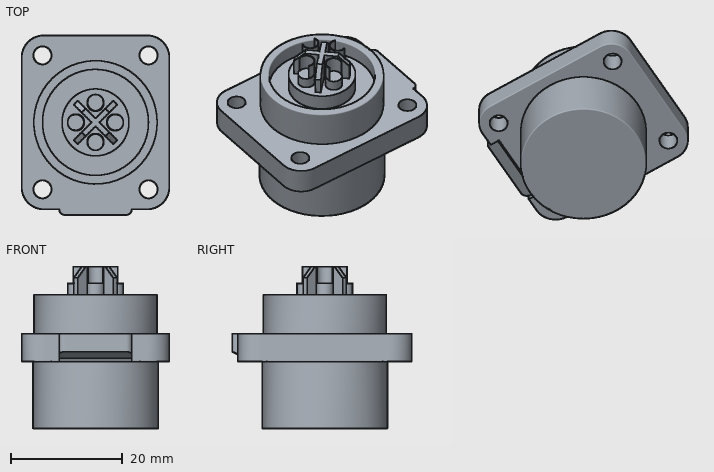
import cadquery as cq
import math

flange_bottom = 12.0
flange_top = 17.0
collar_top = 24.0
collar_floor = 21.0
island_top = 24.0
contact_step = 26.0
insert_top = 29.0

body_diameter = 22.5
collar_diameter = 22.1
collar_bore = 19.0
island_diameter = 12.0
edge_radius = 0.2

flange_width = 26.5
flange_length = 31.2
flange_corner_radius = 4.0
hole_diameter = 3.2
hole_spacing_x = 19.0
hole_spacing_y = 24.0

tab_width = 13.0
tab_projection = 1.0
tab_corner_radius = 1.0
relief_start_height = 13.77
relief_knee_height = 12.64
relief_angle = 25.0
relief_end_angle = 57.5

cross_length = 10.0
cross_thickness = 1.0
cross_chamfer = 2.0
cross_angle = 45.0

contact_count = 4
contact_circle_radius = 3.5
contact_diameter = 3.0
cup_diameter = 2.8
cup_cut_offset = 0.5


def cylinder(diameter, bottom, top):
    return cq.Workplane("XY").workplane(offset=bottom).circle(diameter / 2).extrude(top - bottom)


def turn_about_z(part, angle):
    return part.rotate((0, 0, 0), (0, 0, 1), angle)


def make_body():
    lower = cylinder(body_diameter, 0, flange_bottom).faces("<Z").edges().fillet(edge_radius)
    collar = cylinder(collar_diameter, flange_bottom, collar_top)
    collar = collar.cut(cylinder(collar_bore, collar_floor, collar_top))
    collar = collar.faces(">Z").edges().fillet(edge_radius)
    island = cylinder(island_diameter, collar_floor, island_top)
    return lower.union(collar).union(island)


def make_flange():
    thickness = flange_top - flange_bottom
    plate = (
        cq.Workplane("XY")
        .workplane(offset=flange_bottom)
        .rect(flange_width, flange_length)
        .extrude(thickness)
        .edges("|Z")
        .fillet(flange_corner_radius)
        .faces("<Z")
        .edges()
        .fillet(edge_radius)
    )
    tab = (
        cq.Workplane("XY")
        .workplane(offset=flange_bottom)
        .center(0, -flange_length / 2)
        .rect(tab_width, 2 * tab_projection)
        .extrude(thickness)
        .edges("|Z and <Y")
        .fillet(tab_corner_radius)
    )
    holes = (
        cq.Workplane("XY")
        .workplane(offset=flange_bottom)
        .rect(hole_spacing_x, hole_spacing_y, forConstruction=True)
        .vertices()
        .circle(hole_diameter / 2)
        .extrude(thickness)
    )
    return plate.union(tab).cut(make_tab_relief()).cut(holes)


def make_tab_relief():
    """Wedge under the tab: a shallow slope that ends in a steeper one at the flange underside."""
    front_y = -flange_length / 2 - tab_projection
    shallow_drop = relief_start_height - relief_knee_height
    knee_y = front_y + shallow_drop / math.tan(math.radians(relief_angle))
    steep_drop = relief_knee_height - flange_bottom
    end_y = knee_y + steep_drop / math.tan(math.radians(relief_end_angle))
    return (
        cq.Workplane("YZ")
        .moveTo(front_y, flange_bottom)
        .lineTo(front_y, relief_start_height)
        .lineTo(knee_y, relief_knee_height)
        .lineTo(end_y, flange_bottom)
        .close()
        .extrude(tab_width / 2, both=True)
    )


def make_cross():
    blade = (
        cq.Workplane("XY")
        .workplane(offset=island_top)
        .rect(cross_length, cross_thickness)
        .extrude(insert_top - island_top)
        .faces(">Z")
        .edges("|Y")
        .chamfer(cross_chamfer)
    )
    return turn_about_z(blade, cross_angle).union(turn_about_z(blade, -cross_angle))


def make_contact(angle):
    """Pin with a cup bored in its top; the outer side of the cup is cut open."""
    cup_height = insert_top - contact_step
    pin = cylinder(contact_diameter, island_top, insert_top)
    pin = pin.cut(cylinder(cup_diameter, contact_step, insert_top))
    opening = (
        cq.Workplane("XY")
        .workplane(offset=contact_step)
        .center(cup_cut_offset + contact_diameter / 2, 0)
        .rect(contact_diameter, contact_diameter)
        .extrude(cup_height)
    )
    contact = pin.cut(opening).translate((contact_circle_radius, 0, 0))
    return turn_about_z(contact, angle)


result = make_body().union(make_flange()).union(make_cross())
for index in range(contact_count):
    result = result.union(make_contact(index * 360 / contact_count))